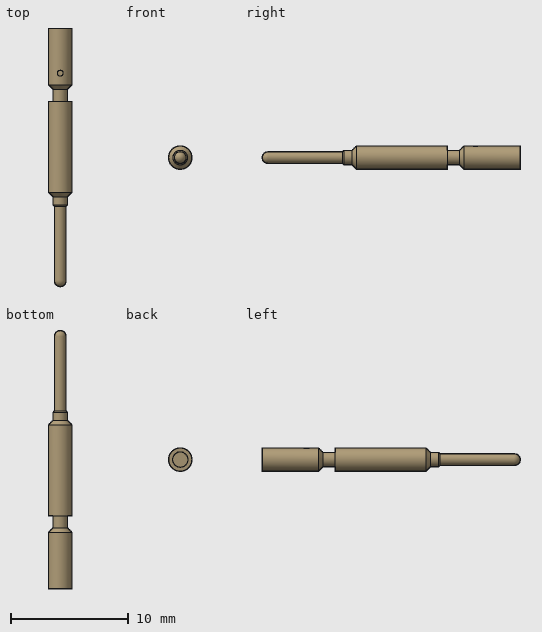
import cadquery as cq

total_length = 21.95
body_radius = 1.0
neck_radius = 0.62
pin_radius = 0.5

barrel_length = 4.8
waist_end = 6.2
sleeve_end = 13.93
collar_end = 15.0

shoulder_length = body_radius - neck_radius
collar_chamfer = neck_radius - pin_radius

inspection_hole_diameter = 0.5
inspection_hole_from_rear = 3.8

wire_bore_diameter = 1.3
wire_bore_depth = 4.3


def turned_body():
    """Revolve the half outline (radius, distance along Y) about the Y axis."""
    tip_start = total_length - pin_radius
    tip_mid = pin_radius * 0.5 ** 0.5
    outline = (
        cq.Workplane("XY")
        .moveTo(0, 0)
        .lineTo(body_radius, 0)
        .lineTo(body_radius, -barrel_length)
        .lineTo(neck_radius, -barrel_length - shoulder_length)
        .lineTo(neck_radius, -waist_end)
        .lineTo(body_radius, -waist_end)
        .lineTo(body_radius, -sleeve_end)
        .lineTo(neck_radius, -sleeve_end - shoulder_length)
        .lineTo(neck_radius, -collar_end)
        .lineTo(pin_radius, -collar_end - collar_chamfer)
        .lineTo(pin_radius, -tip_start)
        .threePointArc((tip_mid, -tip_start - tip_mid), (0, -total_length))
        .close()
    )
    return outline.revolve(360, (0, 0, 0), (0, 1, 0))


def wire_bore():
    return cq.Workplane("XZ").circle(wire_bore_diameter / 2).extrude(wire_bore_depth)


def inspection_hole():
    """Vertical hole from the axis up through the top of the barrel."""
    return (
        cq.Workplane("XY")
        .center(0, -inspection_hole_from_rear)
        .circle(inspection_hole_diameter / 2)
        .extrude(body_radius)
    )


result = turned_body().cut(wire_bore()).cut(inspection_hole())